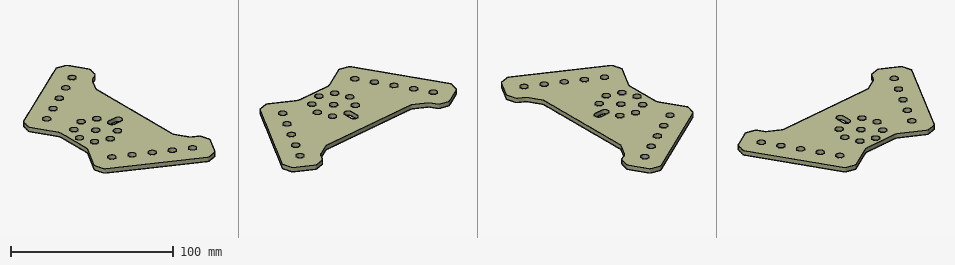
import cadquery as cq
import math

thickness = 3.2
hole_diameter = 5.2
hole_pitch = 12.7
arm_hole_count = 5
arm_axis_x = -32.8
first_hole_y = 3.2
mirror_angle = 60.0

corner_cut = 5.2
corner_radius = 1.7
lower_web_radius = 4.9
notch_offset = 10.2
web_outer = 32.3

ring_radius = 13.5
ring_positions = 8
slot_travel = 5.3

arm_left = arm_axis_x - hole_pitch
arm_right = arm_axis_x + hole_pitch
arm_bottom = first_hole_y - hole_pitch
arm_top = first_hole_y + arm_hole_count * hole_pitch

axis_rad = math.radians(mirror_angle)
axis_x = math.cos(axis_rad)
axis_y = math.sin(axis_rad)


def mirrored(point):
    """Reflect a point about the symmetry line through the hub."""
    x, y = point
    cos_double = math.cos(2 * axis_rad)
    sin_double = math.sin(2 * axis_rad)
    return (x * cos_double + y * sin_double, x * sin_double - y * cos_double)


def on_axis(distance):
    """Point on the symmetry line at a distance from the hub."""
    return (distance * axis_x, distance * axis_y)


def half_outline():
    """Corners of the upright arm, from the lower web edge to the long edge."""
    normal_x, normal_y = mirrored((0, 1))
    notch_y = (notch_offset - arm_right * normal_x) / normal_y
    determinant = normal_x * axis_y - normal_y * axis_x
    web_x = (notch_offset * axis_y - web_outer * normal_y) / determinant
    web_y = (web_outer * normal_x - notch_offset * axis_x) / determinant
    return [
        (arm_right, arm_bottom),
        (arm_left + corner_cut, arm_bottom),
        (arm_left, arm_bottom + corner_cut),
        (arm_left, arm_top - corner_cut),
        (arm_left + corner_cut, arm_top),
        (arm_right - corner_cut, arm_top),
        (arm_right, arm_top - corner_cut),
        (arm_right, notch_y),
        (web_x, web_y),
    ]


def make_plate():
    half = half_outline()
    other_half = [mirrored(point) for point in reversed(half)]
    outline = half + other_half
    plate = cq.Workplane("XY").polyline(outline).close().extrude(thickness)
    for corner in outline:
        is_lower_web = corner in (half[0], other_half[-1])
        radius = lower_web_radius if is_lower_web else corner_radius
        nearest = cq.selectors.NearestToPointSelector((*corner, thickness / 2))
        plate = plate.edges("|Z").edges(nearest).fillet(radius)
    return plate


def hole_centres():
    """Hub hole, hole rows of both arms and the ring around the hub."""
    arm = [(arm_axis_x, first_hole_y + i * hole_pitch) for i in range(arm_hole_count)]
    ring = []
    for i in range(1, ring_positions):
        angle = axis_rad + 2 * math.pi * i / ring_positions
        ring.append((ring_radius * math.cos(angle), ring_radius * math.sin(angle)))
    return [(0, 0)] + arm + [mirrored(point) for point in arm] + ring


def make_slot():
    """Radial slot that starts on the hole ring and runs outward."""
    return (
        cq.Workplane("XY")
        .center(*on_axis(ring_radius + slot_travel / 2))
        .slot2D(slot_travel + hole_diameter, hole_diameter, mirror_angle)
        .extrude(thickness)
    )


holes = cq.Workplane("XY").pushPoints(hole_centres()).circle(hole_diameter / 2).extrude(thickness)
result = make_plate().cut(holes).cut(make_slot())